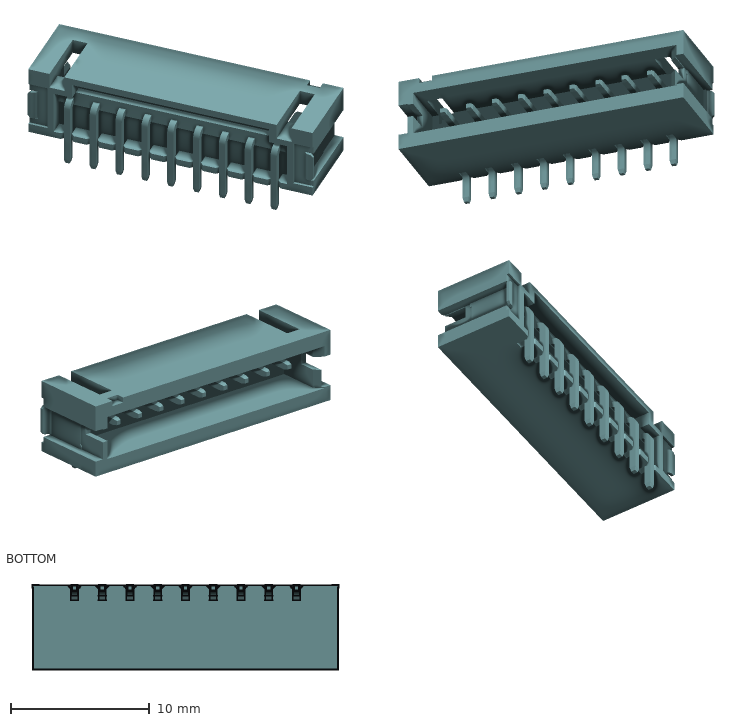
import cadquery as cq
import math


body_length = 22.0
body_depth = 6.1
body_height = 5.5
half_length = body_length / 2

pin_count = 9
pin_pitch = 2.0
pin_size = 0.49
pin_overhang = 0.05
pin_leg_drop = 2.0
pin_axis_z = 3.1
pin_end_y = body_depth - 1.0
pin_bend_inner = 0.25
pin_taper = 0.33
pin_tip_size = 0.33

cavity_start_y = 2.25
cavity_ceiling_z = body_height - 1.13
cavity_floor_z = 1.08
cavity_half_length = 9.87
mouth_bevel = 0.53

groove_depth = 0.68
groove_bottom_z = 1.17
groove_top_z = 3.55
panel_thickness = 0.07
panel_end_y = 3.73
panel_step = 0.13
panel_step_bottom_z = 1.55
panel_step_top_z = 3.23

window_length = 1.95
window_bottom_z = 2.5
window_top_z = 3.5

pocket_half_length = 9.03
pocket_bottom_z = 0.5
pocket_top_z = 3.85
pocket_depth = 0.75
pocket_lower_depth = 1.08
block_bottom_z = 2.72
block_slope_z = 2.52
upper_pocket_half_length = 7.62
upper_pocket_top_z = body_height - 0.53
upper_pocket_depth = 1.33

lip_slot_width = 0.53
lip_slot_mouth = 1.02

end_recess_length = 1.48
end_recess_depth = 0.2
end_recess_bottom_z = 0.7
end_recess_top_z = 4.2

latch_inner_x = 8.22
latch_outer_x = 9.37
latch_length = 4.6
latch_floor_z = body_height - 1.2
latch_pit_width = 0.6
latch_pit_depth = 0.66
latch_pit_length = 0.66

notch_start_x = 8.42
notch_width = 1.0
notch_length = 0.65
notch_depth = 0.4

hook_overhang = 0.05
hook_thickness = 0.22
hook_outer_radius = 0.38
hook_bend_setback = 0.29
hook_root_y = 0.42
hook_bottom_z = 1.3
hook_top_z = groove_top_z
hook_chamfer = 0.2


def box(x0, x1, y0, y1, z0, z1):
    """Box between two opposite corners."""
    return cq.Workplane("XY").box(x1 - x0, y1 - y0, z1 - z0, centered=False).translate((x0, y0, z0))


def both_ends(left):
    """A left-end feature together with its mirror image at the right end."""
    return left.union(left.mirror("YZ"))


def mating_cavity():
    """Rectangular cavity whose mouth widens at 45 degrees along the left end wall."""
    mouth_half = half_length - mouth_bevel
    bevel_y = body_depth - (mouth_half - cavity_half_length)
    outline = [
        (-cavity_half_length, cavity_start_y),
        (-cavity_half_length, bevel_y),
        (-mouth_half, body_depth),
        (cavity_half_length, body_depth),
        (cavity_half_length, cavity_start_y),
    ]
    height = cavity_ceiling_z - cavity_floor_z
    return cq.Workplane("XY").workplane(offset=cavity_floor_z).polyline(outline).close().extrude(height)


def end_groove():
    """Left end groove, leaving the raised panel on its floor."""
    floor_x = -half_length + groove_depth
    groove = box(-half_length, floor_x, 0, body_depth, groove_bottom_z, groove_top_z)
    stepped_y = panel_end_y - panel_step
    outline = [
        (0, groove_bottom_z),
        (panel_end_y, groove_bottom_z),
        (panel_end_y, panel_step_bottom_z - panel_step),
        (stepped_y, panel_step_bottom_z),
        (stepped_y, panel_step_top_z),
        (panel_end_y, panel_step_top_z),
        (panel_end_y, groove_top_z),
        (0, groove_top_z),
    ]
    panel = cq.Workplane("YZ").polyline(outline).close().extrude(panel_thickness)
    return groove.cut(panel.translate((floor_x - panel_thickness, 0, 0)))


def end_window():
    """Left window from the groove into the cavity."""
    return box(-half_length, -cavity_half_length, body_depth - window_length, body_depth,
               window_bottom_z, window_top_z)


def end_recess():
    """Shallow recess at the left of the front face."""
    return box(-half_length, -half_length + end_recess_length, 0, end_recess_depth,
               end_recess_bottom_z, end_recess_top_z)


def front_pocket():
    """Pocket around the legs, deeper and sloped underneath the pin block."""
    profile = [
        (0, pocket_bottom_z),
        (pocket_lower_depth, pocket_bottom_z),
        (pocket_lower_depth, block_slope_z),
        (pocket_depth, block_bottom_z),
        (pocket_depth, pocket_top_z),
        (0, pocket_top_z),
    ]
    lower = cq.Workplane("YZ").polyline(profile).close().extrude(pocket_half_length, both=True)
    upper = box(-upper_pocket_half_length, upper_pocket_half_length, 0, upper_pocket_depth,
                pocket_top_z, upper_pocket_top_z)
    return lower.union(upper)


def lip_slot(x):
    """Slot in the bottom lip for one leg, flared at 45 degrees to the front."""
    half_slot = lip_slot_width / 2
    half_mouth = lip_slot_mouth / 2
    flare = half_mouth - half_slot
    outline = [
        (x - half_mouth, 0),
        (x - half_slot, flare),
        (x - half_slot, pocket_lower_depth),
        (x + half_slot, pocket_lower_depth),
        (x + half_slot, flare),
        (x + half_mouth, 0),
    ]
    return cq.Workplane("XY").polyline(outline).close().extrude(pocket_bottom_z)


def latch_slot():
    """Left slot in the top face, opening into the cavity, with a pit in its floor."""
    slot = box(-latch_outer_x, -latch_inner_x, 0, latch_length, latch_floor_z, body_height)
    pit = box(-latch_outer_x, -latch_outer_x + latch_pit_width,
              cavity_start_y - latch_pit_length, cavity_start_y,
              latch_floor_z - latch_pit_depth, latch_floor_z)
    return slot.union(pit)


def marking_notch():
    """Single notch at the rear edge of the top face."""
    return box(notch_start_x, notch_start_x + notch_width, body_depth - notch_length, body_depth,
               body_height - notch_depth, body_height)


def solder_hook():
    """Left solder hook: a strip that leaves the groove floor and bends outwards."""
    front_y = -hook_overhang
    tip_x = -half_length - hook_overhang
    bend_x = -half_length + hook_bend_setback
    bend_y = front_y + hook_outer_radius
    inner_radius = hook_outer_radius - hook_thickness
    diagonal = math.sqrt(0.5)
    strip = (
        cq.Workplane("XY").workplane(offset=hook_bottom_z)
        .moveTo(tip_x, front_y)
        .lineTo(bend_x, front_y)
        .threePointArc((bend_x + hook_outer_radius * diagonal, bend_y - hook_outer_radius * diagonal),
                       (bend_x + hook_outer_radius, bend_y))
        .lineTo(bend_x + hook_outer_radius, hook_root_y)
        .lineTo(bend_x + inner_radius, hook_root_y)
        .lineTo(bend_x + inner_radius, bend_y)
        .threePointArc((bend_x + inner_radius * diagonal, bend_y - inner_radius * diagonal),
                       (bend_x, front_y + hook_thickness))
        .lineTo(tip_x, front_y + hook_thickness)
        .close()
        .extrude(hook_top_z - hook_bottom_z)
    )
    return strip.faces("<X").edges("|Y").chamfer(hook_chamfer)


def tapered_end(plane):
    """Square tapered pin end, standing on the given plane."""
    return (
        plane.rect(pin_size, pin_size)
        .workplane(offset=pin_taper)
        .rect(pin_tip_size, pin_tip_size)
        .loft(combine=True)
    )


def bent_pin():
    """Square pin with a vertical leg, a rounded bend and a horizontal contact."""
    half_pin = pin_size / 2
    leg_y = -pin_overhang + half_pin
    bend_radius = pin_bend_inner + half_pin
    diagonal = bend_radius * math.sqrt(0.5)
    bend_y = leg_y + bend_radius
    bend_z = pin_axis_z - bend_radius
    leg_end_z = -pin_leg_drop + pin_taper
    contact_end_y = pin_end_y - pin_taper
    axis = (
        cq.Workplane("YZ")
        .moveTo(leg_y, leg_end_z)
        .lineTo(leg_y, bend_z)
        .threePointArc((bend_y - diagonal, bend_z + diagonal), (bend_y, pin_axis_z))
        .lineTo(contact_end_y, pin_axis_z)
    )
    shank = cq.Workplane("XY", origin=(0, leg_y, leg_end_z)).rect(pin_size, pin_size).sweep(axis)
    leg_tip = tapered_end(cq.Workplane(cq.Plane((0, leg_y, leg_end_z), (1, 0, 0), (0, 0, -1))))
    contact_tip = tapered_end(cq.Workplane(cq.Plane((0, contact_end_y, pin_axis_z), (1, 0, 0), (0, 1, 0))))
    return shank.union(leg_tip).union(contact_tip)


pin_positions = [(i - (pin_count - 1) / 2) * pin_pitch for i in range(pin_count)]

result = box(-half_length, half_length, 0, body_depth, 0, body_height)
result = result.cut(mating_cavity())
for end_feature in (end_groove(), end_window(), end_recess(), latch_slot()):
    result = result.cut(both_ends(end_feature))
result = result.cut(front_pocket())
result = result.cut(marking_notch())
for pin_x in pin_positions:
    result = result.cut(lip_slot(pin_x))
    result = result.union(bent_pin().translate((pin_x, 0, 0)))
result = result.union(both_ends(solder_hook()))